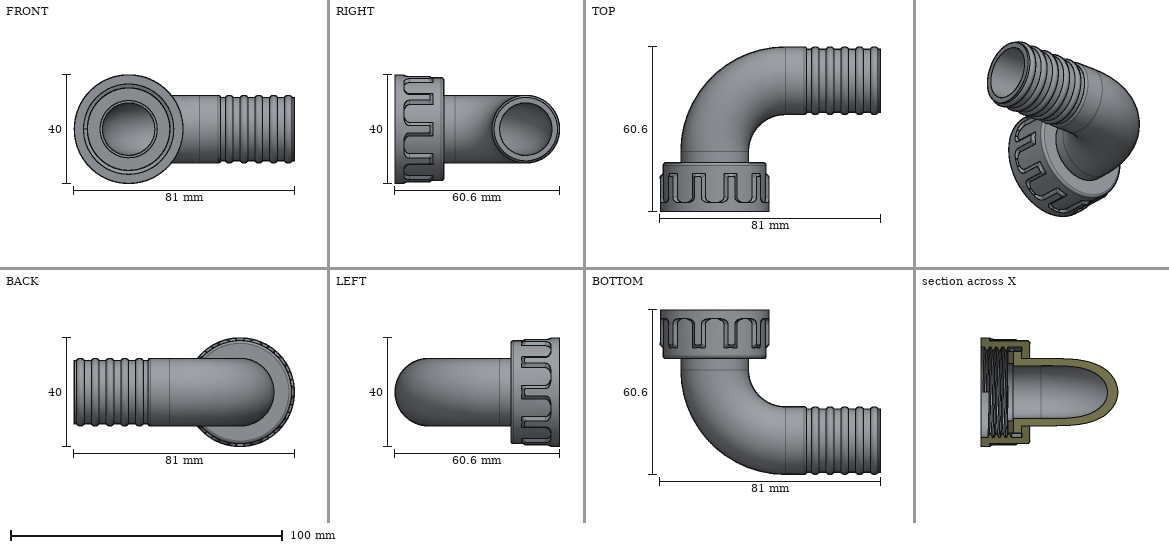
import cadquery as cq
import math


tube_radius = 12.5
bore_radius = 9.6
bend_radius = 26.0
spigot_axis_y = 48.1
spigot_end_x = 61.0
shoulder_x = 33.85
shoulder_fillet = 1.0
spigot_radius = 11.7

barb_count = 5
barb_pitch = 5.4
first_barb_x = 37.0
barb_width = 2.8
barb_crest_radius = 12.5

nut_length = 18.0
nut_radius = 20.0
nut_body_radius = 18.95
nut_back_fillet = 1.0
band_length = 3.2
lip_thickness = 3.0

rib_count = 10
rib_end_y = 13.9
rib_top_width = 2.6
rib_corner_fillet = 0.8
rib_base_span = 11.3
rib_root_depth = 1.6
rib_trim = 0.3
rib_foot_fillet = 2.0

thread_root_radius = 16.6
thread_crest_radius = 15.2
thread_advance = 9.7
thread_start_y = 0.65
thread_turns = 4.2
ridge_base_width = 1.95
ridge_crest_width = 0.65
ridge_embed = 0.2

gasket_face_y = 9.8
gasket_thickness = 2.0
gasket_hole_radius = 10.5
seat_radius = 15.15

flange_front_y = gasket_face_y + gasket_thickness
lip_front_y = nut_length - lip_thickness
bend_start_y = spigot_axis_y - bend_radius
rib_height = nut_radius - nut_body_radius
select_margin = 0.1


def cylinder_y(radius, start_y, end_y):
    """Cylinder on the nut axis between two Y positions."""
    return cq.Workplane("XZ", origin=(0, start_y, 0)).circle(radius).extrude(start_y - end_y)


def swept_pipe(radius, end_x):
    """Round bar along the elbow centreline, from the flange face to end_x."""
    bend_middle = bend_radius * math.sqrt(0.5)
    path = (
        cq.Workplane("XY")
        .moveTo(0, flange_front_y)
        .lineTo(0, bend_start_y)
        .threePointArc(
            (bend_radius - bend_middle, bend_start_y + bend_middle),
            (bend_radius, spigot_axis_y),
        )
        .lineTo(end_x, spigot_axis_y)
    )
    return cq.Workplane("XZ", origin=(0, flange_front_y, 0)).circle(radius).sweep(path)


def spigot():
    """Hose spigot with its barb rings, turned about the spigot axis."""
    profile = cq.Workplane("XY").moveTo(bend_radius, 0).lineTo(bend_radius, spigot_radius)
    for index in range(barb_count):
        centre_x = first_barb_x + index * barb_pitch
        start_x = centre_x - barb_width / 2
        end_x = centre_x + barb_width / 2
        profile = profile.lineTo(start_x, spigot_radius)
        profile = profile.threePointArc((centre_x, barb_crest_radius), (end_x, spigot_radius))
    profile = profile.lineTo(spigot_end_x, spigot_radius).lineTo(spigot_end_x, 0).close()
    return profile.revolve(360, (0, 0, 0), (1, 0, 0)).translate((0, spigot_axis_y, 0))


def make_elbow():
    """Bent tube with its hose spigot and its seating flange, bored right through."""
    outer = swept_pipe(tube_radius, shoulder_x).faces(">X").edges().fillet(shoulder_fillet)
    flange = cylinder_y(seat_radius, flange_front_y, lip_front_y)
    return outer.union(spigot()).union(flange).cut(swept_pipe(bore_radius, spigot_end_x))


def make_gasket():
    """Flat ring against the front of the elbow flange."""
    disc = cylinder_y(seat_radius, gasket_face_y, flange_front_y)
    return disc.cut(cylinder_y(gasket_hole_radius, gasket_face_y, flange_front_y))


def grip_rib():
    """Oversize rib on the +X side of the nut: 45-degree flanks and back end on a base block."""
    half_top = rib_top_width / 2
    inner_x = nut_body_radius - rib_root_depth
    outer_x = nut_radius + rib_trim
    flanks = (
        cq.Workplane("XZ")
        .polyline([
            (inner_x, half_top + rib_height + rib_root_depth),
            (outer_x, half_top - rib_trim),
            (outer_x, rib_trim - half_top),
            (inner_x, -half_top - rib_height - rib_root_depth),
        ])
        .close()
        .extrude(-nut_length)
    )
    back_end = (
        cq.Workplane("XY")
        .polyline([
            (inner_x, 0),
            (outer_x, 0),
            (outer_x, rib_end_y - rib_height - rib_trim),
            (inner_x, rib_end_y + rib_root_depth),
        ])
        .close()
        .extrude(nut_radius, both=True)
    )
    rib = flanks.intersect(back_end)
    rib = rib.faces(">Y").edges("not |Z").fillet(rib_corner_fillet)
    base = (
        cq.Workplane("XY")
        .box(outer_x - inner_x, band_length, rib_base_span, centered=(False, False, True))
        .translate((inner_x, 0, 0))
    )
    foot_corners = cq.selectors.BoxSelector(
        (inner_x, band_length - select_margin, select_margin - rib_base_span / 2),
        (outer_x, band_length + select_margin, rib_base_span / 2 - select_margin),
    )
    return rib.union(base).edges(foot_corners).fillet(rib_foot_fillet)


def thread_ridge():
    """Helical trapezoidal ridge on the wall of the nut bore."""
    base_radius = thread_root_radius + ridge_embed
    helix = cq.Wire.makeHelix(thread_advance / thread_turns, thread_advance, thread_root_radius)
    ridge = (
        cq.Workplane("XZ")
        .polyline([
            (base_radius, -ridge_base_width / 2),
            (thread_crest_radius, -ridge_crest_width / 2),
            (thread_crest_radius, ridge_crest_width / 2),
            (base_radius, ridge_base_width / 2),
        ])
        .close()
        .sweep(cq.Workplane(helix), isFrenet=True)
    )
    on_nut_axis = ridge.rotate((0, 0, 0), (0, 0, 1), 180).rotate((0, 0, 0), (1, 0, 0), -90)
    return on_nut_axis.translate((0, thread_start_y + ridge_base_width / 2, 0))


def make_nut():
    """Union nut with grip ribs, an internal thread and a back lip around the tube."""
    body = cylinder_y(nut_body_radius, 0, nut_length).faces(">Y").edges().fillet(nut_back_fillet)
    oversize_band = cylinder_y(nut_radius + 2 * rib_height, 0, band_length)
    nut = body.union(oversize_band)
    rib = grip_rib()
    for index in range(rib_count):
        nut = nut.union(rib.rotate((0, 0, 0), (0, 1, 0), index * 360 / rib_count))
    nut = nut.intersect(cylinder_y(nut_radius, 0, nut_length))
    nut = nut.cut(cylinder_y(thread_root_radius, 0, lip_front_y))
    nut = nut.cut(cylinder_y(tube_radius, 0, nut_length))
    return nut.union(thread_ridge(), clean=False)


elbow = make_elbow()
nut = make_nut()
gasket = make_gasket()
result = cq.Compound.makeCompound([elbow.val(), nut.val(), gasket.val()])